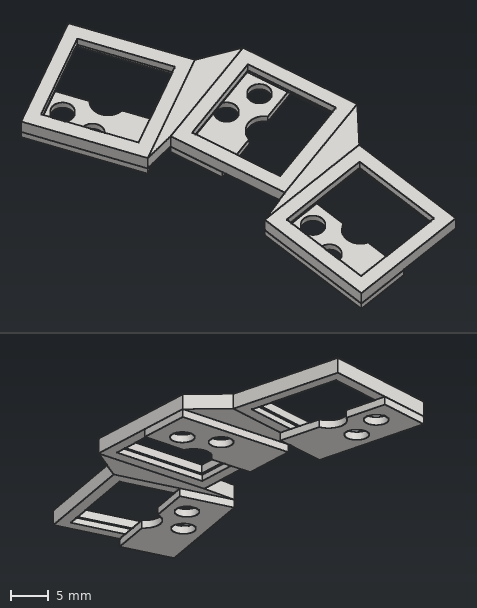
import cadquery as cq
import math

cell_size = 18.0
half_cell = cell_size / 2
middle_tilt = 27.0
fan_step = 12.0
right_center = (21.1, 2.42)
left_center = (-14.92, -15.3)

left_cell = (left_center, middle_tilt + fan_step, 0)
middle_cell = ((0.0, 0.0), middle_tilt, -1)
right_cell = (right_center, middle_tilt - fan_step, 0)
cells = [left_cell, middle_cell, right_cell]

holder_thickness = 1.15
frame_thickness = 2.2

opening_size = 13.85
lip_thickness = 1.3
recess_size = 14.5
recess_depth = frame_thickness - lip_thickness

holder_top_edge = -0.85
stem_radius = 2.45
pin_hole_diameter = 3.3
pin_hole_centers = [(-5.0, -3.9), (0.0, -5.9)]

quarter_turn = 90.0


def place(body, center, angle):
    """Turn a body made around the origin, then move it to a cell centre."""
    return body.rotate((0, 0, 0), (0, 0, 1), angle).translate((*center, 0))


def make_frame(cell):
    center, tilt, _ = cell
    frame = (
        cq.Workplane("XY", origin=(0, 0, holder_thickness))
        .rect(cell_size, cell_size)
        .rect(opening_size, opening_size)
        .extrude(frame_thickness)
    )
    recess = (
        cq.Workplane("XY", origin=(0, 0, holder_thickness))
        .rect(recess_size, recess_size)
        .extrude(recess_depth)
    )
    return place(frame.cut(recess), center, tilt)


def make_holder(cell):
    """Plate under one half of a frame, with the stem notch and two pin holes."""
    center, tilt, quarter_turns = cell
    depth = holder_top_edge + half_cell
    plate = (
        cq.Workplane("XY")
        .center(0, holder_top_edge - depth / 2)
        .rect(cell_size, depth)
        .extrude(holder_thickness)
    )
    stem_notch = cq.Workplane("XY").circle(stem_radius).extrude(holder_thickness)
    pin_holes = (
        cq.Workplane("XY")
        .pushPoints(pin_hole_centers)
        .circle(pin_hole_diameter / 2)
        .extrude(holder_thickness)
    )
    holder = plate.cut(stem_notch).cut(pin_holes)
    return place(holder, center, tilt + quarter_turn * quarter_turns)


def cell_corner(cell, side, end):
    """Corner of a cell; side and end are -1 or 1 along the cell's own X and Y."""
    (center_x, center_y), tilt, _ = cell
    cosine = math.cos(math.radians(tilt))
    sine = math.sin(math.radians(tilt))
    x = side * half_cell
    y = end * half_cell
    return (center_x + x * cosine - y * sine, center_y + x * sine + y * cosine)


def make_web(cell, next_cell):
    """Wedge that fills the gap between the facing edges of two neighbouring frames."""
    outline = [
        cell_corner(cell, 1, -1),
        cell_corner(next_cell, -1, -1),
        cell_corner(next_cell, -1, 1),
        cell_corner(cell, 1, 1),
    ]
    return (
        cq.Workplane("XY", origin=(0, 0, holder_thickness))
        .polyline(outline)
        .close()
        .extrude(frame_thickness)
    )


frames = [make_frame(cell) for cell in cells]
holders = [make_holder(cell) for cell in cells]
webs = [make_web(cell, next_cell) for cell, next_cell in zip(cells, cells[1:])]

result = cq.Compound.makeCompound([body.val() for body in frames + holders + webs])